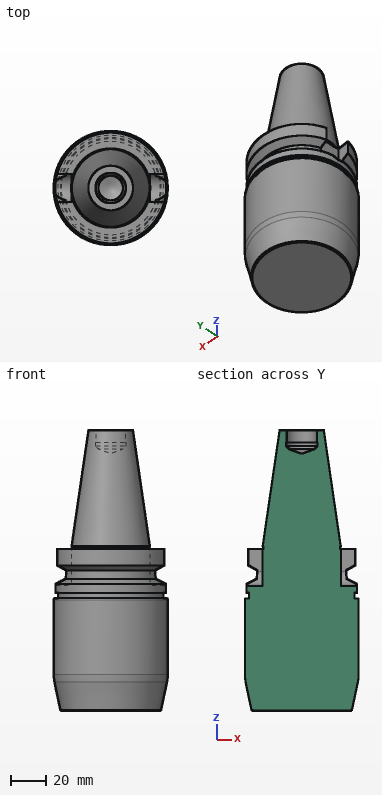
import cadquery as cq
import math

gauge_height = 94.0
taper_length = 65.4
flange_top = gauge_height - 2.0
flange_bottom = gauge_height - 27.0
collar_top = gauge_height - 30.0
total_height = gauge_height + taper_length

gauge_diameter = 44.45
taper_ratio = 7 / 24
taper_end_diameter = gauge_diameter - taper_length * taper_ratio

relief_diameter = 44.0
relief_top = gauge_height - 0.5
relief_chamfer_height = 0.3
relief_fillet = 0.5

flange_diameter = 62.98
groove_diameter = 53.2
groove_angle = 60.0
groove_center = gauge_height - 16.6
groove_floor_width = 4.8
groove_flank_rise = (flange_diameter - groove_diameter) / 2 * math.tan(math.radians(groove_angle / 2))

neck_diameter = 60.0
neck_fillet = 0.5
body_diameter = 65.0
collar_round = 1.0
nose_angle = 12.0
nose_diameter = 57.4
nose_chamfer = 0.6
nose_blend_radius = 20.0

slot_width = 16.1
slot_bottom = 71.1
slot_wall_offset = 22.4

counterbore_diameter = 17.01
counterbore_depth = 7.0
undercut_diameter = 17.41
undercut_depth = 9.0
seat_angle = 90.0
bore_diameter = 14.0
drill_point_angle = 140.0


def turned_body():
    """Complete outer outline revolved about Z."""
    nose_radius = nose_diameter / 2
    body_radius = body_diameter / 2
    flange_radius = flange_diameter / 2
    neck_radius = neck_diameter / 2
    groove_radius = groove_diameter / 2
    relief_radius = relief_diameter / 2
    taper_base_radius = (gauge_diameter + (gauge_height - relief_top) * taper_ratio) / 2

    angle = math.radians(nose_angle)
    cone_top = nose_chamfer + (body_radius - nose_radius) / math.tan(angle)
    blend_length = nose_blend_radius * math.tan(angle / 2)
    blend_top = cone_top + blend_length
    blend_center_x = body_radius - nose_blend_radius
    blend_start = (
        body_radius - blend_length * math.sin(angle),
        cone_top - blend_length * math.cos(angle),
    )
    blend_middle = (
        blend_center_x + nose_blend_radius * math.cos(angle / 2),
        blend_top - nose_blend_radius * math.sin(angle / 2),
    )

    floor_bottom = groove_center - groove_floor_width / 2
    floor_top = groove_center + groove_floor_width / 2

    outline = (
        cq.Workplane("XZ")
        .moveTo(0, 0)
        .lineTo(nose_radius - nose_chamfer, 0)
        .lineTo(nose_radius, nose_chamfer)
        .lineTo(*blend_start)
        .threePointArc(blend_middle, (body_radius, blend_top))
        .lineTo(body_radius, collar_top - collar_round)
        .radiusArc((body_radius - collar_round, collar_top), -collar_round)
        .lineTo(neck_radius + neck_fillet, collar_top)
        .radiusArc((neck_radius, collar_top + neck_fillet), neck_fillet)
        .lineTo(neck_radius, flange_bottom)
        .lineTo(flange_radius, flange_bottom)
        .lineTo(flange_radius, floor_bottom - groove_flank_rise)
        .lineTo(groove_radius, floor_bottom)
        .lineTo(groove_radius, floor_top)
        .lineTo(flange_radius, floor_top + groove_flank_rise)
        .lineTo(flange_radius, flange_top)
        .lineTo(relief_radius + relief_fillet, flange_top)
        .radiusArc((relief_radius, flange_top + relief_fillet), relief_fillet)
        .lineTo(relief_radius, relief_top - relief_chamfer_height)
        .lineTo(taper_base_radius, relief_top)
        .lineTo(taper_end_diameter / 2, total_height)
        .lineTo(0, total_height)
        .close()
    )
    return outline.revolve(360, (0, 0, 0), (0, 1, 0))


def drive_slot(side):
    """Round-bottomed drive slot on the +X (side = 1) or -X (side = -1) flank."""
    slot_radius = slot_width / 2
    round_center = slot_bottom + slot_radius
    return (
        cq.Workplane("YZ", origin=(side * slot_wall_offset, 0, 0))
        .moveTo(-slot_radius, flange_top)
        .lineTo(-slot_radius, round_center)
        .threePointArc((0, slot_bottom), (slot_radius, round_center))
        .lineTo(slot_radius, flange_top)
        .close()
        .extrude(side * body_diameter / 2)
    )


def drawbar_hole():
    """Blind hole in the small end: counterbore, undercut, conical seat and drill point."""
    counterbore_radius = counterbore_diameter / 2
    undercut_radius = undercut_diameter / 2
    bore_radius = bore_diameter / 2
    counterbore_floor = total_height - counterbore_depth
    undercut_floor = total_height - undercut_depth
    seat_height = (undercut_radius - bore_radius) / math.tan(math.radians(seat_angle / 2))
    bore_floor = undercut_floor - seat_height
    point_height = bore_radius / math.tan(math.radians(drill_point_angle / 2))
    outline = (
        cq.Workplane("XZ")
        .moveTo(0, total_height)
        .lineTo(counterbore_radius, total_height)
        .lineTo(counterbore_radius, counterbore_floor)
        .lineTo(undercut_radius, counterbore_floor)
        .lineTo(undercut_radius, undercut_floor)
        .lineTo(bore_radius, bore_floor)
        .lineTo(0, bore_floor - point_height)
        .close()
    )
    return outline.revolve(360, (0, 0, 0), (0, 1, 0))


result = turned_body()
for side in (1, -1):
    result = result.cut(drive_slot(side))
result = result.cut(drawbar_hole())